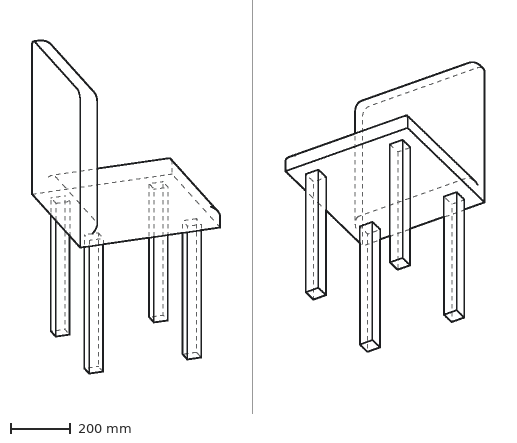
import cadquery as cq

width = 480.0
depth = 500.0
height = 1060.0
panel_thickness = 70.0
seat_top = 560.0
edge_radius = 30.0
crest_radius = 50.0
leg_side = 50.0
leg_inset = 50.0

seat_bottom = seat_top - panel_thickness
rear_y = -depth / 2
front_y = depth / 2
backrest_front_y = rear_y + panel_thickness
side_x = width / 2


def point_on_edge(x, y, z):
    """Select the edge nearest to a point."""
    return cq.selectors.NearestToPointSelector((x, y, z))


def make_seat_and_backrest():
    """L-shaped side profile extruded across the width, then rounded."""
    body = (
        cq.Workplane("YZ", origin=(-side_x, 0, 0))
        .moveTo(rear_y, seat_bottom)
        .lineTo(front_y, seat_bottom)
        .lineTo(front_y, seat_top)
        .lineTo(backrest_front_y, seat_top)
        .lineTo(backrest_front_y, height)
        .lineTo(rear_y, height)
        .close()
        .extrude(width)
    )
    body = body.edges(point_on_edge(0, backrest_front_y, height)).fillet(crest_radius)

    seat_middle_y = (front_y + backrest_front_y) / 2
    backrest_middle_z = (seat_top + height - crest_radius) / 2
    rim = body.edges(point_on_edge(0, front_y, seat_top))
    for x in (-side_x, side_x):
        rim = rim.add(body.edges(point_on_edge(x, seat_middle_y, seat_top)))
        rim = rim.add(body.edges(point_on_edge(x, backrest_front_y, backrest_middle_z)))
    return rim.fillet(edge_radius)


def make_legs():
    """Four square legs set in from the seat corners."""
    spacing_x = width - 2 * leg_inset - leg_side
    spacing_y = depth - 2 * leg_inset - leg_side
    return (
        cq.Workplane("XY")
        .rarray(spacing_x, spacing_y, 2, 2)
        .rect(leg_side, leg_side)
        .extrude(seat_bottom)
    )


result = make_seat_and_backrest().union(make_legs())